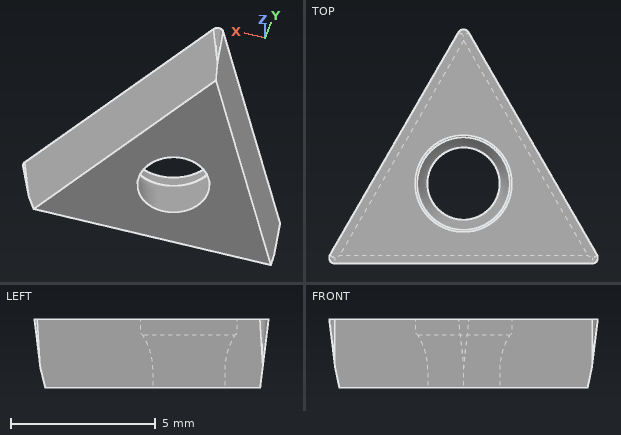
import cadquery as cq
import math

top_width = 9.33
thickness = 2.38
nose_radius = 0.205
clearance_angle = 7.0
seat_diameter = 3.36
bore_diameter = 2.5
seat_depth = 0.42
blend_diameter = 3.21
blend_depth = 0.53
bore_start_depth = 1.75

sharp_side = top_width + 2 * nose_radius * (math.sqrt(3) - 1)
corner_distance = sharp_side / math.sqrt(3)
corner_angles = (90, 210, 330)
half_nose_arc = 60

cone_height = nose_radius / math.tan(math.radians(clearance_angle))


def polar(distance, angle):
    """Point at a distance and angle (degrees) from the hole axis."""
    radians = math.radians(angle)
    return distance * math.cos(radians), distance * math.sin(radians)


def sharp_body():
    """Tapered triangular block with its top face at Z = 0."""
    corners = [polar(corner_distance, angle) for angle in corner_angles]
    return cq.Workplane("XY").polyline(corners).close().extrude(-thickness, taper=clearance_angle)


def corner_waste(angle):
    """Material between a sharp corner and its nose cone, for a corner at this angle."""
    axis_distance = corner_distance - 2 * nose_radius
    tangent_x = axis_distance + nose_radius * math.cos(math.radians(half_nose_arc))
    tangent_y = nose_radius * math.sin(math.radians(half_nose_arc))
    wedge = (
        cq.Workplane("XY")
        .moveTo(axis_distance, 0)
        .lineTo(tangent_x, -tangent_y)
        .lineTo(corner_distance, 0)
        .lineTo(tangent_x, tangent_y)
        .close()
        .extrude(-cone_height)
    )
    cone = cq.Workplane("XY").add(
        cq.Solid.makeCone(
            nose_radius, 0, cone_height, pnt=cq.Vector(axis_distance, 0, 0), dir=cq.Vector(0, 0, -1)
        )
    )
    return wedge.cut(cone).rotate((0, 0, 0), (0, 0, 1), angle)


def screw_hole():
    """Straight mouth, short blend, convex seat tangent to the bore, then a through bore."""
    seat_radius = seat_diameter / 2
    bore_radius = bore_diameter / 2
    blend_radius = blend_diameter / 2
    return (
        cq.Workplane("XZ")
        .lineTo(seat_radius, 0)
        .lineTo(seat_radius, -seat_depth)
        .tangentArcPoint((blend_radius, -blend_depth), relative=False)
        .lineTo(0, -blend_depth)
        .close()
        .revolve(360, (0, 0, 0), (0, 1, 0))
        .union(
            cq.Workplane("XZ")
            .moveTo(0, -thickness)
            .lineTo(bore_radius, -thickness)
            .lineTo(bore_radius, -bore_start_depth)
            .tangentArcPoint((blend_radius, -blend_depth), relative=False)
            .lineTo(0, -blend_depth)
            .close()
            .revolve(360, (0, 0, 0), (0, 1, 0))
        )
    )


result = sharp_body()
for corner_angle in corner_angles:
    result = result.cut(corner_waste(corner_angle))
result = result.cut(screw_hole())